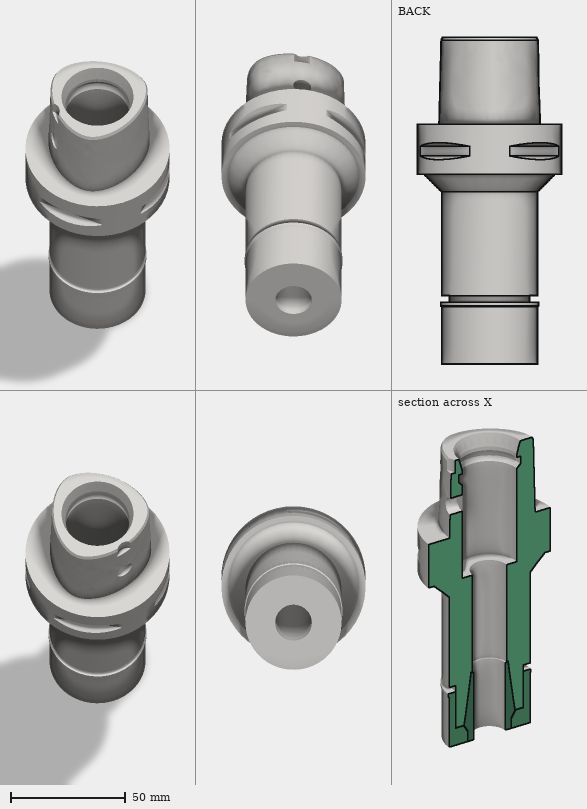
import cadquery as cq
import math

TOP_Z = 143.0
FLANGE_TOP_Z = 105.0
FLANGE_BOTTOM_Z = 83.0
SHANK_TOP_Z = 75.4
SHANK_BOTTOM_Z = 29.9
SPIGOT_BOTTOM_Z = 8.6

FLANGE_DIAMETER = 63.0
FLANGE_RADIUS = FLANGE_DIAMETER / 2
FLARE_RADIUS = 28.6
SHANK_RADIUS = 21.0
SPIGOT_RADIUS = 17.6

POLYGON_RADIUS = 22.2
POLYGON_LOBE = 1.5
POLYGON_TAPER = 1 / 40
POLYGON_POINTS = 36
TIP_CHAMFER_HEIGHT = 1.5
TIP_CHAMFER_WIDTH = 0.7

GROOVE_COUNT = 4
GROOVE_FLOOR_DISTANCE = 27.6
GROOVE_Z = 93.1
GROOVE_FLOOR_WIDTH = 4.1
GROOVE_MOUTH_WIDTH = 7.5

NOTCH_RADIUS = 4.5
NOTCH_DEPTH = 6.1
NOTCH_BACK_DISTANCE = 17.9
SIDE_HOLE_RADIUS = 4.0
SIDE_HOLE_Z = 120.5
SIDE_HOLE_FLOOR_DISTANCE = 14.2

MOUTH_RADIUS = 15.7
BORE_RADIUS = 14.0
MOUTH_CONE_DEPTH = 6.1
UNDERCUT_RADIUS = 15.9
UNDERCUT_TOP_DEPTH = 8.0
UNDERCUT_WALL_END_DEPTH = 11.6
BORE_FLOOR_Z = 83.0
THROUGH_RADIUS = 8.7

COLLET_LENGTH = 34.0
COLLET_RADIUS = 13.0
COLLET_NOSE_RADIUS = 11.0
COLLET_BORE_RADIUS = 8.0
COLLET_TAPER_ANGLE = 8.0
NOSE_TAPER_ANGLE = 30.0

NUT_RADIUS = 21.0
NUT_RIM_RADIUS = 21.5
NUT_TOP_Z = 27.0
NUT_RIM_BOTTOM_Z = 25.5

COLLET_TAPER_HEIGHT = COLLET_LENGTH - SPIGOT_BOTTOM_Z
COLLET_TOP_RADIUS = COLLET_RADIUS - COLLET_TAPER_HEIGHT * math.tan(math.radians(COLLET_TAPER_ANGLE))
NOSE_TOP_Z = SPIGOT_BOTTOM_Z - (COLLET_RADIUS - COLLET_NOSE_RADIUS) / math.tan(math.radians(NOSE_TAPER_ANGLE))


def revolve(points):
    """Solid of revolution about Z from (radius, z) points."""
    return cq.Workplane("XZ").polyline(points).close().revolve(360, (0, 0, 0), (0, 1, 0))


def polygon_wire(z, mean_radius):
    """Closed lobed curve: the support distance is mean + lobe * cos(3 * angle),
    with one lobe toward +Y.
    """
    points = []
    for i in range(POLYGON_POINTS):
        angle = 2 * math.pi * i / POLYGON_POINTS
        support = mean_radius + POLYGON_LOBE * math.cos(3 * angle)
        slope = -3 * POLYGON_LOBE * math.sin(3 * angle)
        along = support * math.cos(angle) - slope * math.sin(angle)
        across = support * math.sin(angle) + slope * math.cos(angle)
        points.append(cq.Vector(-across, along, z))
    return cq.Wire.assembleEdges([cq.Edge.makeSpline(points, periodic=True)])


def polygon_shank():
    """Tapered polygon with a chamfered tip."""
    chamfer_z = TOP_Z - TIP_CHAMFER_HEIGHT
    chamfer_radius = POLYGON_RADIUS - POLYGON_TAPER * (chamfer_z - FLANGE_TOP_Z)
    base = polygon_wire(FLANGE_TOP_Z, POLYGON_RADIUS)
    chamfer = polygon_wire(chamfer_z, chamfer_radius)
    tip = polygon_wire(TOP_Z, chamfer_radius - TIP_CHAMFER_WIDTH)
    body = cq.Solid.makeLoft([base, chamfer], True)
    return cq.Workplane(body).union(cq.Workplane(cq.Solid.makeLoft([chamfer, tip], True)))


def holder_outside():
    turned = revolve([
        (0, SPIGOT_BOTTOM_Z),
        (SPIGOT_RADIUS, SPIGOT_BOTTOM_Z),
        (SPIGOT_RADIUS, SHANK_BOTTOM_Z),
        (SHANK_RADIUS, SHANK_BOTTOM_Z),
        (SHANK_RADIUS, SHANK_TOP_Z),
        (FLARE_RADIUS, FLANGE_BOTTOM_Z),
        (FLANGE_RADIUS, FLANGE_BOTTOM_Z),
        (FLANGE_RADIUS, FLANGE_TOP_Z),
        (0, FLANGE_TOP_Z),
    ])
    return turned.union(polygon_shank())


def holder_bore():
    """Clamping bore with undercut, through hole and tapered collet socket."""
    return revolve([
        (0, TOP_Z),
        (MOUTH_RADIUS, TOP_Z),
        (BORE_RADIUS, TOP_Z - MOUTH_CONE_DEPTH),
        (BORE_RADIUS, TOP_Z - UNDERCUT_TOP_DEPTH),
        (UNDERCUT_RADIUS, TOP_Z - UNDERCUT_TOP_DEPTH),
        (UNDERCUT_RADIUS, TOP_Z - UNDERCUT_WALL_END_DEPTH),
        (BORE_RADIUS, TOP_Z - UNDERCUT_WALL_END_DEPTH - (UNDERCUT_RADIUS - BORE_RADIUS)),
        (BORE_RADIUS, BORE_FLOOR_Z),
        (THROUGH_RADIUS, BORE_FLOOR_Z),
        (THROUGH_RADIUS, COLLET_LENGTH),
        (COLLET_TOP_RADIUS, COLLET_LENGTH),
        (COLLET_RADIUS, SPIGOT_BOTTOM_Z),
        (0, SPIGOT_BOTTOM_Z),
    ])


def gripper_grooves():
    """Straight grooves with sloped sides, on the diagonals of the flange."""
    floor_half = GROOVE_FLOOR_WIDTH / 2
    mouth_half = GROOVE_MOUTH_WIDTH / 2
    groove = (
        cq.Workplane("XZ")
        .polyline([
            (GROOVE_FLOOR_DISTANCE, GROOVE_Z - floor_half),
            (FLANGE_RADIUS, GROOVE_Z - mouth_half),
            (FLANGE_RADIUS, GROOVE_Z + mouth_half),
            (GROOVE_FLOOR_DISTANCE, GROOVE_Z + floor_half),
        ])
        .close()
        .extrude(FLANGE_RADIUS, both=True)
    )
    step = 360 / GROOVE_COUNT
    grooves = cq.Workplane()
    for i in range(GROOVE_COUNT):
        grooves = grooves.add(groove.rotate((0, 0, 0), (0, 0, 1), step * (i + 0.5)))
    return grooves.combine()


def tip_notch():
    """Round-backed notch in the -Y edge of the tip."""
    return (
        cq.Workplane("XY", origin=(0, -NOTCH_BACK_DISTANCE - NOTCH_RADIUS, TOP_Z - NOTCH_DEPTH))
        .circle(NOTCH_RADIUS)
        .extrude(NOTCH_DEPTH)
    )


def side_hole():
    """Flat-bottomed hole from the -Y side."""
    return (
        cq.Workplane("XZ", origin=(0, -SIDE_HOLE_FLOOR_DISTANCE, SIDE_HOLE_Z))
        .circle(SIDE_HOLE_RADIUS)
        .extrude(POLYGON_RADIUS)
    )


def make_holder():
    return (
        holder_outside()
        .cut(holder_bore())
        .cut(gripper_grooves())
        .cut(tip_notch())
        .cut(side_hole())
    )


def make_nut():
    """Clamping nut with a raised rim, fitted around the spigot and the collet nose."""
    return revolve([
        (COLLET_NOSE_RADIUS, 0),
        (NUT_RADIUS, 0),
        (NUT_RADIUS, NUT_RIM_BOTTOM_Z - (NUT_RIM_RADIUS - NUT_RADIUS)),
        (NUT_RIM_RADIUS, NUT_RIM_BOTTOM_Z),
        (NUT_RIM_RADIUS, NUT_TOP_Z),
        (SPIGOT_RADIUS, NUT_TOP_Z),
        (SPIGOT_RADIUS, SPIGOT_BOTTOM_Z),
        (COLLET_RADIUS, SPIGOT_BOTTOM_Z),
        (COLLET_NOSE_RADIUS, NOSE_TOP_Z),
    ])


def make_collet():
    """Double-tapered collet, its nose flush with the nut face."""
    return revolve([
        (COLLET_BORE_RADIUS, 0),
        (COLLET_NOSE_RADIUS, 0),
        (COLLET_NOSE_RADIUS, NOSE_TOP_Z),
        (COLLET_RADIUS, SPIGOT_BOTTOM_Z),
        (COLLET_TOP_RADIUS, COLLET_LENGTH),
        (COLLET_BORE_RADIUS, COLLET_LENGTH),
    ])


holder = make_holder()
nut = make_nut()
collet = make_collet()

result = cq.Compound.makeCompound([holder.val(), nut.val(), collet.val()])